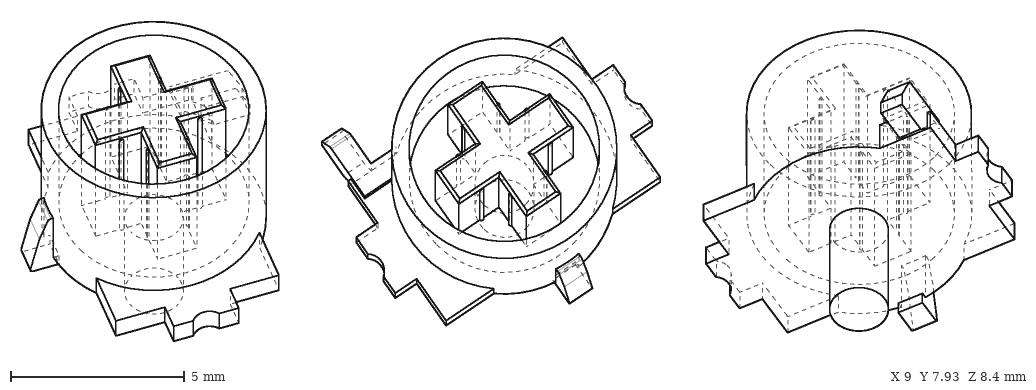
import cadquery as cq

cup_diameter = 6.5
bore_diameter = 5.5
cup_height = 5.0

plate_length = 7.5
plate_width = 5.0
plate_thickness = 0.7
ear_span = 9.0
ear_width = 2.0
notch_diameter = 1.0
notch_depth = 0.2

pin_diameter = 1.7
pin_length = 3.4

cross_span = 4.0
cross_arm_width = 1.2
cross_chamfer = 0.1

rib_radius = 0.07
rib_protrusion = 0.05
rib_offset = 1.2
rib_drop = 0.18

clip_bottom = -0.4
clip_edge_radius = 0.1

side_clip_left = -3.65
side_clip_width = 0.7
side_clip_top = 1.0
side_clip_reach = 4.0
side_clip_flat_end = 3.57
side_clip_slope_end = 0.05

front_clip_width = 0.8
front_clip_inner_y = -3.05
front_clip_top_y = -3.37
front_clip_knee_y = -3.65
front_clip_toe_y = -3.95
front_clip_top = 1.8
front_clip_knee = 1.0

bore_floor = plate_thickness


def yz_prism(outline, x_start, width):
    """Extrude a (y, z) outline along +X from x_start."""
    plane = cq.Workplane("YZ", origin=(x_start, 0, 0))
    return plane.polyline(outline).close().extrude(width)


def make_plate():
    plate = cq.Workplane("XY").rect(plate_length, plate_width).extrude(plate_thickness)
    ears = cq.Workplane("XY").rect(ear_span, ear_width).extrude(plate_thickness)
    notch_x = ear_span / 2 - notch_depth + notch_diameter / 2
    notches = (
        cq.Workplane("XY")
        .pushPoints([(-notch_x, 0), (notch_x, 0)])
        .circle(notch_diameter / 2)
        .extrude(plate_thickness)
    )
    return plate.union(ears).cut(notches)


def make_side_clip():
    strip_y = plate_width / 2 - side_clip_width
    strip = cq.Workplane("XY").box(
        -side_clip_left,
        side_clip_width,
        side_clip_top - plate_thickness,
        centered=False,
    ).translate((side_clip_left, strip_y, plate_thickness))

    undercut = -clip_bottom
    outline = [
        (strip_y, side_clip_top),
        (side_clip_flat_end, side_clip_top),
        (side_clip_reach, side_clip_slope_end),
        (side_clip_reach, clip_bottom),
        (plate_width / 2 + undercut, clip_bottom),
        (plate_width / 2, 0),
        (strip_y, 0),
    ]
    leg = yz_prism(outline, side_clip_left, side_clip_width)
    shoulder = cq.selectors.NearestToPointSelector(
        (side_clip_left + side_clip_width / 2, side_clip_flat_end, side_clip_top)
    )
    leg = leg.edges(shoulder).fillet(clip_edge_radius)
    return strip.union(leg)


def make_front_clip():
    outline = [
        (front_clip_inner_y, clip_bottom),
        (front_clip_toe_y, clip_bottom),
        (front_clip_knee_y, front_clip_knee),
        (front_clip_top_y, front_clip_top),
        (front_clip_inner_y, front_clip_top),
    ]
    clip = yz_prism(outline, -front_clip_width / 2, front_clip_width)
    for edge_y, edge_z in [(front_clip_toe_y, clip_bottom), (front_clip_top_y, front_clip_top)]:
        corner = cq.selectors.NearestToPointSelector((0, edge_y, edge_z))
        clip = clip.edges(corner).fillet(clip_edge_radius)
    return clip


def make_cross_arm():
    """One bar of the cross along X, chamfered around its top."""
    return (
        cq.Workplane("XY", origin=(0, 0, bore_floor))
        .rect(cross_span, cross_arm_width)
        .extrude(cup_height - bore_floor)
        .faces(">Z")
        .chamfer(cross_chamfer)
    )


def make_arm_ribs():
    """Four upright round-topped ribs, two on each flank of the bar along X."""
    rib_y = cross_arm_width / 2 + rib_protrusion - rib_radius
    dome_z = cup_height - rib_drop - rib_radius
    centers = [(x, y) for x in (-rib_offset, rib_offset) for y in (-rib_y, rib_y)]
    shafts = (
        cq.Workplane("XY", origin=(0, 0, bore_floor))
        .pushPoints(centers)
        .circle(rib_radius)
        .extrude(dome_z - bore_floor)
    )
    domes = cq.Workplane("XY", origin=(0, 0, dome_z)).pushPoints(centers).sphere(rib_radius)
    return shafts.union(domes)


def make_cross():
    arm = make_cross_arm()
    ribs = make_arm_ribs()
    cross = arm.union(ribs)
    return cross.union(cross.rotate((0, 0, 0), (0, 0, 1), 90))


cup = cq.Workplane("XY").circle(cup_diameter / 2).extrude(cup_height)
pin = cq.Workplane("XY").circle(pin_diameter / 2).extrude(-pin_length)
bore = (
    cq.Workplane("XY", origin=(0, 0, bore_floor))
    .circle(bore_diameter / 2)
    .extrude(cup_height - bore_floor)
)

body = cup.union(make_plate()).union(pin).union(make_side_clip()).union(make_front_clip())
result = body.cut(bore).union(make_cross())